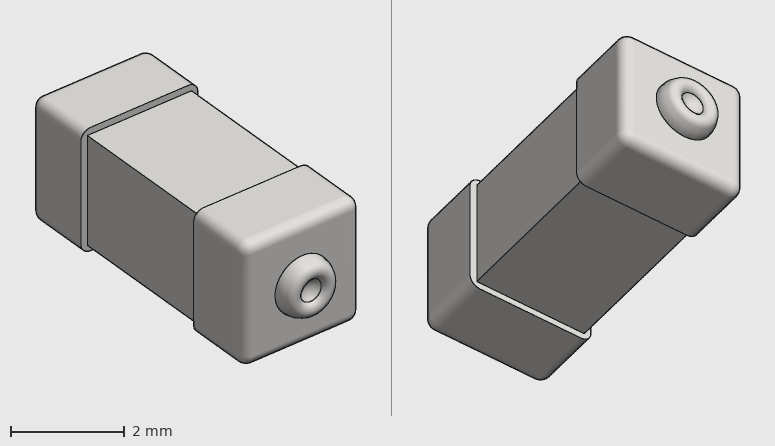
import cadquery as cq
import math

total_length = 6.81
cap_width = 2.6
cap_length = 1.44
cap_round = 0.22
body_width = 2.315

button_height = 0.355
button_base_radius = 0.605
rim_outer_radius = 0.545
dimple_radius = 0.23
rim_height = 0.11
dimple_depth = 0.1
side_bulge = 0.02

cap_face_x = total_length / 2 - button_height


def make_body():
    """Square bar that reaches into the middle of both caps."""
    return cq.Workplane("XY").box(2 * cap_face_x - cap_length, body_width, body_width)


def make_cap():
    """Square cap at +X, rounded along its length and around its outer face."""
    cap = cq.Workplane("XY").box(cap_length, cap_width, cap_width)
    cap = cap.edges("|X or >X").fillet(cap_round)
    return cap.translate((cap_face_x - cap_length / 2, 0, 0))


def make_button():
    """Button at +X, its half profile revolved about the X axis."""
    embed_x = cap_face_x - cap_round
    button_end_x = total_length / 2
    rim_x = button_end_x - rim_height
    rim_crest_radius = (dimple_radius + rim_outer_radius) / 2

    wall_length = rim_x - cap_face_x
    wall_taper = math.atan2(button_base_radius - rim_outer_radius, wall_length)
    wall_middle = (
        (cap_face_x + rim_x) / 2 + side_bulge * math.sin(wall_taper),
        (button_base_radius + rim_outer_radius) / 2 + side_bulge * math.cos(wall_taper),
    )

    sphere_radius = (dimple_radius**2 + dimple_depth**2) / (2 * dimple_depth)
    dimple_bottom_x = rim_x - dimple_depth
    sphere_centre_x = dimple_bottom_x + sphere_radius
    half_angle = math.asin(dimple_radius / sphere_radius) / 2
    dimple_middle = (
        sphere_centre_x - sphere_radius * math.cos(half_angle),
        sphere_radius * math.sin(half_angle),
    )

    profile = (
        cq.Workplane("XY")
        .moveTo(embed_x, 0)
        .lineTo(embed_x, button_base_radius)
        .lineTo(cap_face_x, button_base_radius)
        .threePointArc(wall_middle, (rim_x, rim_outer_radius))
        .threePointArc((button_end_x, rim_crest_radius), (rim_x, dimple_radius))
        .threePointArc(dimple_middle, (dimple_bottom_x, 0))
        .close()
    )
    return profile.revolve(360, (0, 0, 0), (1, 0, 0))


end_piece = make_cap().union(make_button())
result = make_body().union(end_piece).union(end_piece.mirror("YZ"))